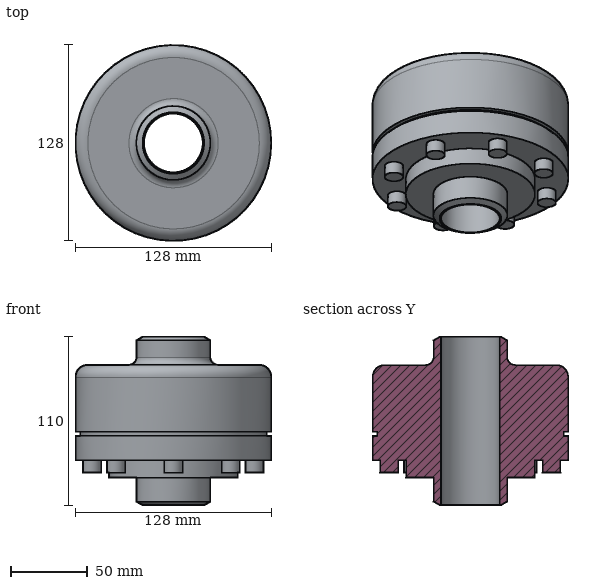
import cadquery as cq
import math

total_height = 110.0
body_diameter = 128.0
groove_diameter = 122.0
hub_diameter = 84.3
pipe_diameter = 48.3
bore_diameter = 38.3

hub_bottom = 18.0
flange_bottom = 29.25
flange_thickness = 16.0
groove_width = 2.6
body_top = 91.7

body_fillet = 8.0
neck_fillet = 5.0
bevel_land = 1.0
bevel_angle = 30.0

bolt_count = 8
bolt_diameter = 12.0
bolt_circle_diameter = 106.0
bolt_height = 8.0

pipe_radius = pipe_diameter / 2
bore_radius = bore_diameter / 2
flange_top = flange_bottom + flange_thickness
body_bottom = flange_top + groove_width
bevel_width = pipe_radius - bore_radius - bevel_land
bevel_height = bevel_width * math.tan(math.radians(bevel_angle))


def disc(diameter, bottom, top):
    """Solid cylinder on the Z axis between two levels."""
    return cq.Workplane("XY").workplane(offset=bottom).circle(diameter / 2).extrude(top - bottom)


def make_pipe():
    """Central pipe running the full height, with a welding bevel on both ends."""
    profile = [
        (0, 0),
        (pipe_radius - bevel_width, 0),
        (pipe_radius, bevel_height),
        (pipe_radius, total_height - bevel_height),
        (pipe_radius - bevel_width, total_height),
        (0, total_height),
    ]
    return cq.Workplane("XZ").polyline(profile).close().revolve(360, (0, 0), (0, 1))


def make_body():
    """Upper housing with a rounded top rim."""
    return disc(body_diameter, body_bottom, body_top).faces(">Z").edges().fillet(body_fillet)


def make_neck():
    """Concave fillet ring where the pipe leaves the top of the housing."""
    outer_radius = pipe_radius + neck_fillet
    fillet_top = body_top + neck_fillet
    arc_offset = neck_fillet * (1 - math.sqrt(0.5))
    return (
        cq.Workplane("XZ")
        .moveTo(0, body_top)
        .lineTo(outer_radius, body_top)
        .threePointArc((pipe_radius + arc_offset, body_top + arc_offset), (pipe_radius, fillet_top))
        .lineTo(0, fillet_top)
        .close()
        .revolve(360, (0, 0), (0, 1))
    )


def make_bolts():
    """Ring of round bolt heads hanging from the underside of the flange."""
    return (
        cq.Workplane("XY")
        .workplane(offset=flange_bottom - bolt_height)
        .polarArray(bolt_circle_diameter / 2, 0, 360, bolt_count)
        .circle(bolt_diameter / 2)
        .extrude(bolt_height)
    )


flange = disc(body_diameter, flange_bottom, flange_top)
groove_core = disc(groove_diameter, flange_top, body_bottom)
hub = disc(hub_diameter, hub_bottom, flange_bottom)
bore = disc(bore_diameter, 0, total_height)

result = (
    make_body()
    .union(groove_core)
    .union(flange)
    .union(hub)
    .union(make_pipe())
    .union(make_neck())
    .union(make_bolts())
    .cut(bore)
)